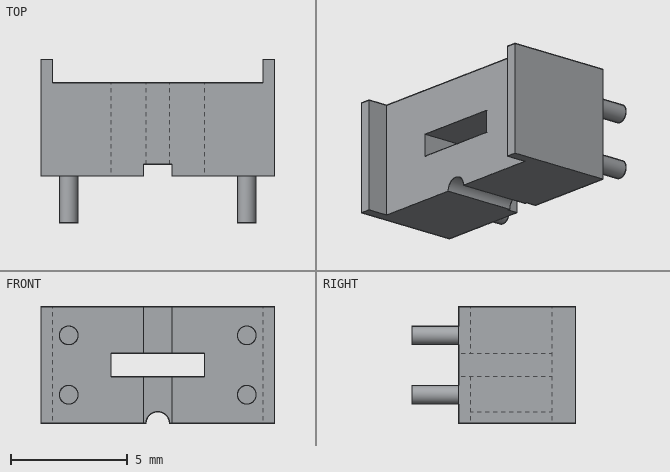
import cadquery as cq

width = 10.0
height = 5.0
block_depth = 4.0

tab_thickness = 0.5
tab_length = 1.0

groove_width = 1.2
groove_depth = 0.5

window_width = 4.0
window_height = 1.0
channel_radius = 0.5

pin_diameter = 0.8
pin_length = 2.0
pin_pitch_x = 7.62
pin_pitch_z = 2.54


def front_plane(y):
    """Sketch plane at depth y: local x is X, local y is Z, extrusion goes toward -Y."""
    return cq.Workplane("XZ", origin=(0, y, 0))


def make_housing():
    """Block with a full-height tab at each end of the back face."""
    total_depth = block_depth + tab_length
    body = front_plane(total_depth).rect(width, height).extrude(total_depth)
    gap_width = width - 2 * tab_thickness
    gap = front_plane(total_depth).rect(gap_width, height).extrude(tab_length)
    return body.cut(gap)


def make_groove():
    return front_plane(groove_depth).rect(groove_width, height).extrude(groove_depth)


def make_window():
    return front_plane(block_depth).rect(window_width, window_height).extrude(block_depth)


def make_channel():
    """Cylinder centred on the bottom face; its upper half forms the channel."""
    return front_plane(block_depth).center(0, -height / 2).circle(channel_radius).extrude(block_depth)


def make_pins():
    return front_plane(0).rarray(pin_pitch_x, pin_pitch_z, 2, 2).circle(pin_diameter / 2).extrude(pin_length)


housing = make_housing().cut(make_groove()).cut(make_window()).cut(make_channel())
result = housing.union(make_pins())